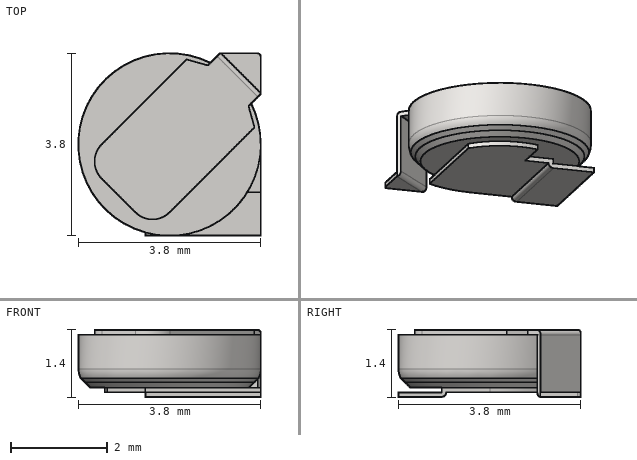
import cadquery as cq
import math

cell_radius = 1.9
sheet = 0.1
total_height = 1.4

cell_bottom = 2 * sheet
cell_top = total_height - sheet
seam_height = 0.305
cone_top_height = 0.395
shoulder_height = 0.59
cone_bottom_radius = 1.653
cone_top_radius = 1.855
cone_slope = (cone_top_radius - cone_bottom_radius) / (cone_top_height - cell_bottom)
seam_radius = cone_bottom_radius + cone_slope * (seam_height - cell_bottom)

pad_half_width = 1.0
pad_end = 1.5
pad_corner_radius = 0.5
neck_half_width = 0.6
neck_start = 1.725
strap_outer = 2.098
strap_inner = strap_outer - sheet
foot_corner_radius = 0.075
foot_reach = cell_radius * math.sqrt(2)

plate_radius = 1.353
plate_back = 1.0
plate_step = -0.39
foot_left = -0.5
jog_outer = -1.0


def diagonal_plane(height):
    return cq.Workplane(cq.Plane(origin=(0, 0, height), xDir=(1, 1, 0), normal=(0, 0, 1)))


def quarter_arc_middle(center_x, center_z, x_sign, z_sign, radius):
    """Middle point of a quarter bend about the given center."""
    offset = radius / math.sqrt(2)
    return center_x + x_sign * offset, center_z + z_sign * offset


def make_can_shell():
    shoulder_inset = cell_radius - cone_top_radius
    shoulder_drop = shoulder_height - cone_top_height
    arc_radius = (shoulder_inset**2 + shoulder_drop**2) / (2 * shoulder_inset)
    half_angle = math.asin(shoulder_drop / arc_radius) / 2
    arc_middle = (
        cell_radius - arc_radius * (1 - math.cos(half_angle)),
        shoulder_height - arc_radius * math.sin(half_angle),
    )
    return (
        cq.Workplane("XZ")
        .moveTo(0, seam_height)
        .lineTo(seam_radius, seam_height)
        .lineTo(cone_top_radius, cone_top_height)
        .threePointArc(arc_middle, (cell_radius, shoulder_height))
        .lineTo(cell_radius, cell_top)
        .lineTo(0, cell_top)
        .close()
        .revolve(360, (0, 0, 0), (0, 1, 0))
    )


def make_top_pad():
    rounded_end = (
        diagonal_plane(cell_top)
        .rect(2 * pad_end, 2 * pad_half_width)
        .extrude(sheet)
        .faces("<(1, 1, 0)")
        .edges("|Z")
        .fillet(pad_corner_radius)
    )
    shoulders = (
        diagonal_plane(cell_top)
        .polyline([
            (pad_end, -pad_half_width),
            (neck_start, -neck_half_width),
            (neck_start, neck_half_width),
            (pad_end, pad_half_width),
        ])
        .close()
        .extrude(sheet)
    )
    return rounded_end.union(shoulders)


def make_strap():
    """Neck that bends down beside the cell and out into a corner foot."""
    profile_plane = cq.Plane(origin=(0, 0, 0), xDir=(1, 1, 0), normal=(1, -1, 0))
    strap = (
        cq.Workplane(profile_plane)
        .moveTo(neck_start, cell_top)
        .lineTo(strap_inner, cell_top)
        .lineTo(strap_inner, sheet)
        .threePointArc(quarter_arc_middle(strap_outer, sheet, -1, -1, sheet), (strap_outer, 0))
        .lineTo(foot_reach, 0)
        .lineTo(foot_reach, sheet)
        .lineTo(strap_outer, sheet)
        .lineTo(strap_outer, cell_top)
        .threePointArc(quarter_arc_middle(strap_inner, cell_top, 1, 1, sheet), (strap_inner, total_height))
        .lineTo(neck_start, total_height)
        .close()
        .extrude(neck_half_width, both=True)
    )
    footprint = (
        cq.Workplane("XY")
        .rect(2 * cell_radius, 2 * cell_radius)
        .extrude(total_height)
        .edges("|Z and >X and >Y")
        .fillet(foot_corner_radius)
    )
    return strap.intersect(footprint)


def make_cap_shell():
    return (
        cq.Workplane("XZ")
        .moveTo(0, cell_bottom)
        .lineTo(cone_bottom_radius, cell_bottom)
        .lineTo(seam_radius, seam_height)
        .lineTo(0, seam_height)
        .close()
        .revolve(360, (0, 0, 0), (0, 1, 0))
    )


def make_bottom_plate():
    """Flat sheet under the cell: round on -X, straight beside the foot."""
    def x_on_circle(radius, y):
        return math.sqrt(radius**2 - y**2)

    back_angle = math.asin(plate_back / cell_radius) / 2
    return (
        cq.Workplane("XY", origin=(0, 0, sheet))
        .moveTo(foot_left, jog_outer)
        .lineTo(cell_radius, jog_outer)
        .lineTo(cell_radius, 0)
        .threePointArc(
            (cell_radius * math.cos(back_angle), cell_radius * math.sin(back_angle)),
            (x_on_circle(cell_radius, plate_back), plate_back),
        )
        .lineTo(-x_on_circle(plate_radius, plate_back), plate_back)
        .threePointArc((-plate_radius, 0), (-x_on_circle(plate_radius, plate_step), plate_step))
        .lineTo(foot_left, plate_step)
        .close()
        .extrude(sheet)
    )


def make_bottom_foot():
    """Lower sheet along the -Y edge, with the round outside of the jog."""
    jog_inner = jog_outer + sheet
    return (
        cq.Workplane("YZ", origin=(foot_left, 0, 0))
        .moveTo(-cell_radius, 0)
        .lineTo(jog_outer, 0)
        .threePointArc(quarter_arc_middle(jog_outer, sheet, 1, -1, sheet), (jog_inner, sheet))
        .lineTo(jog_inner, cell_bottom)
        .lineTo(jog_outer, cell_bottom)
        .lineTo(jog_outer, sheet)
        .lineTo(-cell_radius, sheet)
        .close()
        .extrude(cell_radius - foot_left)
    )


can = make_can_shell().union(make_top_pad()).union(make_strap())
cap = make_cap_shell().union(make_bottom_plate()).union(make_bottom_foot())

result = cq.Compound.makeCompound([can.solids().val(), cap.solids().val()])